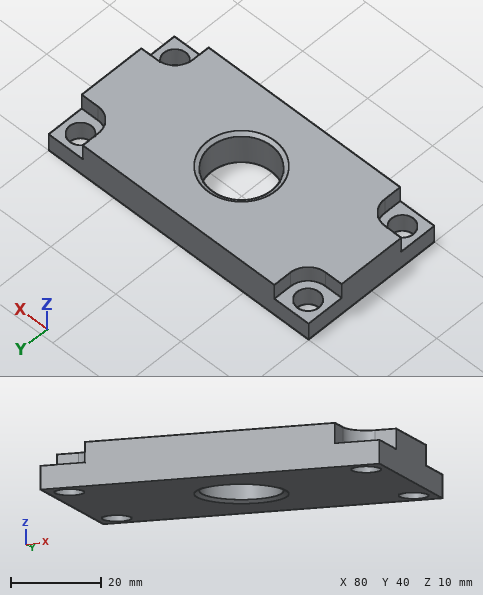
import cadquery as cq
import math

length = 80.0
width = 40.0
thickness = 10.0

hole_pitch_x = 70.0
hole_pitch_y = 30.0
hole_diameter = 6.6
recess_radius = 5.5
recess_depth = 4.6

bore_diameter = 18.6
countersink_diameter = 21.0
countersink_angle = 120.0
countersink_half_angle = math.radians(countersink_angle / 2)
countersink_depth = (countersink_diameter - bore_diameter) / 2 / math.tan(countersink_half_angle)

corner_signs = [(sx, sy) for sx in (-1, 1) for sy in (-1, 1)]


def corner_recess(sign_x, sign_y):
    """Cutter for one corner: straight sides outward, one round concentric with the hole."""
    center_x = sign_x * hole_pitch_x / 2
    center_y = sign_y * hole_pitch_y / 2
    inner_x = center_x - sign_x * recess_radius
    inner_y = center_y - sign_y * recess_radius
    edge_x = sign_x * length / 2
    edge_y = sign_y * width / 2
    arc_offset = recess_radius / math.sqrt(2)
    arc_middle = (center_x - sign_x * arc_offset, center_y - sign_y * arc_offset)
    return (
        cq.Workplane("XY", origin=(0, 0, thickness - recess_depth))
        .moveTo(edge_x, edge_y)
        .lineTo(inner_x, edge_y)
        .lineTo(inner_x, center_y)
        .threePointArc(arc_middle, (center_x, inner_y))
        .lineTo(edge_x, inner_y)
        .close()
        .extrude(recess_depth)
    )


plate = cq.Workplane("XY").box(length, width, thickness, centered=(True, True, False))

bore = (
    cq.Workplane("XZ")
    .lineTo(countersink_diameter / 2, 0)
    .lineTo(bore_diameter / 2, countersink_depth)
    .lineTo(bore_diameter / 2, thickness - countersink_depth)
    .lineTo(countersink_diameter / 2, thickness)
    .lineTo(0, thickness)
    .close()
    .revolve(360, (0, 0, 0), (0, 1, 0))
)
plate = plate.cut(bore)

for sign_x, sign_y in corner_signs:
    plate = plate.cut(corner_recess(sign_x, sign_y))

screw_holes = (
    cq.Workplane("XY")
    .rect(hole_pitch_x, hole_pitch_y, forConstruction=True)
    .vertices()
    .circle(hole_diameter / 2)
    .extrude(thickness)
)

result = plate.cut(screw_holes)